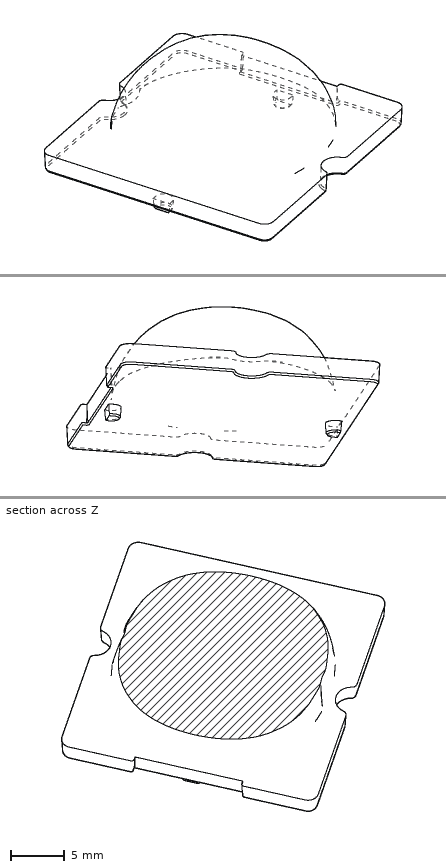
import cadquery as cq
import math

plate_size = 25.0
plate_thickness = 2.0
side_draft = 2.9
corner_radius = 1.0
bottom_chamfer_height = 0.2
bottom_chamfer_width = 0.1

notch_radius = 1.5
notch_mouth_radius = 0.5

recess_width = 10.5
recess_depth = 0.55
recess_mouth_radius = 0.25

dome_height = 8.0
dome_base_radius = 10.4
linear_term = 2.12
square_term = -1.47
cubic_term = 1 - linear_term - square_term
foot_fillet_radius = 0.18

diagonal_bulge = 0.04
apex_blend = 0.1
trim_radius = 10.58
trim_fillet_radius = 2.5

patch_reach = 1.08
patch_half_count = 10
patch_tolerance = 0.05
patch_min_degree = 3
patch_max_degree = 6

relief_radius = 2.85
relief_fillet_radius = 1.0
relief_edge_reach = 1.25
base_clearance = 0.12

foot_reach = 11.25
foot_band = 0.02

pin_length = 1.1
pin_radius = 0.9
pin_offset = 10.72
pin_flat_depth = 0.48
pin_draft = 4.5
pin_chamfer_height = 0.18
pin_chamfer_width = 0.1

half_size = plate_size / 2
both_sides = (-1, 1)
all_quadrants = [(sx, sy) for sx in both_sides for sy in both_sides]


def round_corners(outline, points, radius):
    """Round the outline's corners that lie nearest to the given points."""
    for x, y in points:
        corner = cq.NearestToPointSelector((x, y, 0))
        outline = outline.vertices(corner).fillet(radius).reset()
    return outline


def make_plate():
    """Plate with its top at Z = 0; every side leans inward toward the bottom."""
    outline = cq.Sketch().rect(plate_size, plate_size)
    outline = outline.push([(side * half_size, 0) for side in both_sides])
    outline = outline.circle(notch_radius, mode="s").reset()
    outline = outline.push([(0, half_size)]).rect(recess_width, 2 * recess_depth, mode="s").reset()

    plate_corners = [(sx * half_size, sy * half_size) for sx, sy in all_quadrants]
    notch_mouths = [(sx * half_size, sy * notch_radius) for sx, sy in all_quadrants]
    recess_mouths = [(side * recess_width / 2, half_size) for side in both_sides]
    outline = round_corners(outline, plate_corners, corner_radius)
    outline = round_corners(outline, notch_mouths, notch_mouth_radius)
    outline = round_corners(outline, recess_mouths, recess_mouth_radius)

    plate = cq.Workplane("XY").placeSketch(outline).extrude(-plate_thickness, taper=side_draft)
    return plate.faces("<Z").chamfer(bottom_chamfer_height, bottom_chamfer_width)


def dome_point(u, v):
    """Point of the dome surface; the apex is at u = v = 0 and the foot at a distance of 1 from it."""
    depth = u * u + v * v
    swelling = 1 + diagonal_bulge * (2 * u * v) ** 2 / (depth**2 + apex_blend**2)
    fullness = math.sqrt(cubic_term * depth**2 + square_term * depth + linear_term)
    spread = dome_base_radius * swelling * fullness
    return cq.Vector(spread * u, spread * v, dome_height * (1 - depth))


def make_trimmed_dome():
    """Round post cut off by the dome surface; its wall stays only where the diagonals swell past it."""
    steps = [patch_reach * i / patch_half_count for i in range(-patch_half_count, patch_half_count + 1)]
    surface = cq.Face.makeSplineApprox(
        [[dome_point(u, v) for v in steps] for u in steps],
        tol=patch_tolerance,
        smoothing=(1, 1, 1),
        minDeg=patch_min_degree,
        maxDeg=patch_max_degree,
    )
    post = cq.Workplane("XY").circle(trim_radius).extrude(2 * dome_height)
    pieces = post.val().split(surface).Solids()
    return cq.Workplane(min(pieces, key=lambda piece: piece.Center().z))


def cut_reliefs(dome):
    """Hollow the dome beside the plate notches, then round the trimmed and the hollowed edges."""
    relief = cq.Workplane("XY").center(half_size, 0).circle(relief_radius).extrude(dome_height)
    dome = dome.cut(relief, clean=False).cut(relief.mirror("YZ"), clean=False)

    wall_zone = cq.selectors.BoxSelector(
        (-half_size, -half_size, base_clearance), (half_size, half_size, dome_height)
    )
    wall_edges = dome.edges(wall_zone).vals()
    trim_edges = [edge for edge in wall_edges if abs(edge.Center().y) > notch_radius]
    dome = dome.newObject(trim_edges).fillet(trim_fillet_radius)

    relief_zone = cq.selectors.BoxSelector(
        (-half_size, -relief_edge_reach, base_clearance), (half_size, relief_edge_reach, dome_height)
    )
    return dome.edges(relief_zone).fillet(relief_fillet_radius)


def join_dome_to_plate(plate, dome):
    """Put the dome on the plate with a small fillet all around its foot."""
    body = plate.union(dome, clean=False)
    foot_zone = cq.selectors.BoxSelector(
        (-foot_reach, -foot_reach, -foot_band), (foot_reach, foot_reach, foot_band)
    )
    return body.edges(foot_zone).fillet(foot_fillet_radius)


def make_pin():
    """Pin on the +Y side: a half disc facing inward with a flat-ended part outward."""
    flat_y = pin_offset + pin_flat_depth
    pin = (
        cq.Workplane("XY", origin=(0, 0, -plate_thickness))
        .moveTo(pin_radius, pin_offset)
        .lineTo(pin_radius, flat_y)
        .lineTo(-pin_radius, flat_y)
        .lineTo(-pin_radius, pin_offset)
        .threePointArc((0, pin_offset - pin_radius), (pin_radius, pin_offset))
        .close()
        .extrude(-pin_length, taper=pin_draft)
    )
    return pin.faces("<Z").edges("not >Y").chamfer(pin_chamfer_height, pin_chamfer_width)


dome = cut_reliefs(make_trimmed_dome())
pin = make_pin()
result = join_dome_to_plate(make_plate(), dome)
result = result.union(pin, clean=False).union(pin.mirror("XZ"), clean=False)